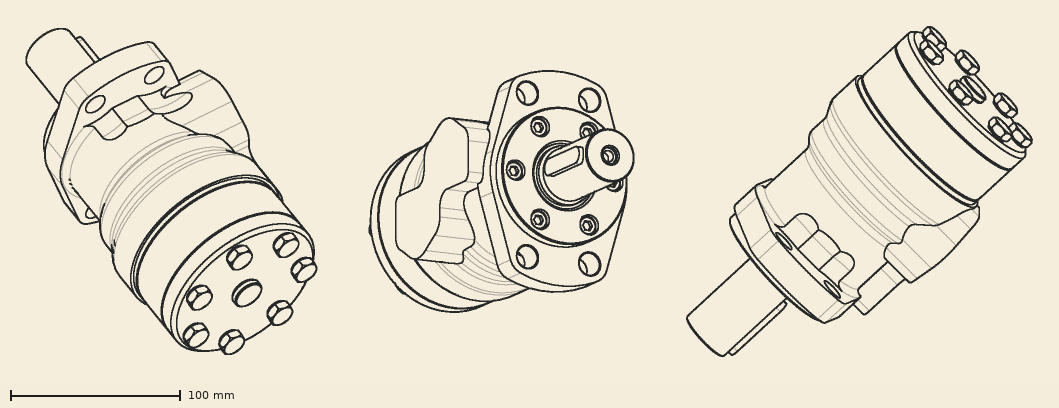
import cadquery as cq
import math


COLLAR_X = 56.0
PILOT_X = 59.4
FLANGE_X = 67.5
FLANGE_BACK_X = 84.4
RING_X = 132.0
BARREL_X = 154.2
HOUSING_END_X = 173.0
GEAR_X = 176.5
COVER_X = 204.0
COVER_END_X = 216.5
BOLT_END_X = 223.2

CHAMFER_ANGLE = 45

SHAFT_D = 32.0
SHAFT_TIP_CHAMFER = 0.7
COLLAR_D = 35.7
CENTRE_BORE_D = 10.0
CENTRE_BORE_DEPTH = 2.7
CENTRE_RIM_CHAMFER = 1.0
CENTRE_DRILL_D = 6.7
CENTRE_DRILL_DEPTH = 9.0
DRILL_HALF_ANGLE = math.radians(59)
KEY_X = 3.5
KEY_LENGTH = 45.0
KEY_WIDTH = 10.0
KEY_TOP_Y = 18.7
KEY_HEIGHT = 8.0

PILOT_D = 82.5
PILOT_CHAMFER = 0.7
SEAL_BORE_D = 39.5
SEAL_BORE_DEPTH = 1.5
SEAL_BORE_CHAMFER = 1.3
SCREW_COUNT = 6
SCREW_CIRCLE_R = 32.4
SCREW_BORE_D = 12.0
SCREW_BORE_DEPTH = 3.1
SCREW_FACE_D = 10.0
SCREW_RIM = (SCREW_BORE_D - SCREW_FACE_D) / 2
SCREW_HEX_CORNERS = 6.2
SCREW_HEX_DEPTH = 2.7

FLANGE_HEIGHT = 129.7
FLANGE_END_R = FLANGE_HEIGHT / 2
FLANGE_SIDE_R = 45.0
FLANGE_TAPER = 16.1
FLANGE_CORNER_R = 11.4
MOUNT_HOLE_D = 13.5
MOUNT_HOLE_CHAMFER = 0.55
MOUNT_HOLE_Y = 20.5
MOUNT_HOLE_Z = 49.5

NECK_R = 40.6
NECK_FILLET_R = 3.5
RING_R = 46.6
BARREL_R = 52.0
NECK_RAMP_ANGLE = 45
NECK_RAMP_FOOT_R = 7.4
NECK_RAMP_HEAD_R = 5.0
BARREL_RAMP_ANGLE = 30
BARREL_RAMP_FOOT_R = 7.5
BARREL_RAMP_HEAD_R = 5.5

POCKET_R = 24.5
POCKET_AXIS_Y = 23.7
POCKET_FLOOR_Z = 33.3
POCKET_END_R = 12.3
POCKET_STRAIGHT_END_X = 96.2
POCKET_FLAT_Z = 38.2
POCKET_FLAT_HALF_Y = 9.2
POCKET_OUTER_Z = 58.0

BLOCK_FACE_Y = 55.0
BLOCK_X = 76.8
BLOCK_CENTRE_X = 124.0
LOBE_X = 105.5
LOBE_TOP_Z = 38.5
LOBE_CROWN_R = 20.3
LOBE_SLOPE = 30
LOBE_SHOULDER_DX = 21.9
LOBE_WALL_Z = 19.2
BLOCK_INNER_R = 9.2
BLOCK_CORNER_R = 5.0
BLOCK_LEDGE_Z = 4.5

STACK_D = 100.0
STACK_CHAMFER = 0.5
COVER_CHAMFER = 2.5
BOLT_COUNT = 7
BOLT_CIRCLE_R = 39.0
BOLT_PATTERN_TURN = -4.1
BOLT_CORNERS = 16.0
BOLT_HEX_TURN = -14
BOLT_CHAMFER = 1.1
BOLT_SEAT_D = 13.0
BOLT_HEAD_X = 217.5
PLUG_D = 18.5
PLUG_STEM_D = 17.2
PLUG_CHAMFER = 0.7
PLUG_END_X = 221.2


def cylinder_x(x_start, x_end, diameter):
    """Cylinder on the motor axis between two stations."""
    return cq.Workplane("YZ", origin=(x_start, 0, 0)).circle(diameter / 2).extrude(x_end - x_start)


def cone_x(x_start, diameter, length):
    """Chamfer cone on the motor axis that narrows from its wide end; a negative length points it to -X."""
    wide_end = cq.Workplane("YZ", origin=(x_start, 0, 0)).circle(diameter / 2)
    return wide_end.extrude(length, taper=CHAMFER_ANGLE)


def circle_points(count, radius, first_angle=0.0):
    """(Y, Z) points equally spaced on a circle about the motor axis."""
    angles = [math.radians(first_angle + 360 * i / count) for i in range(count)]
    return [(radius * math.cos(a), radius * math.sin(a)) for a in angles]


def mirrored_points(y, z):
    """The four (Y, Z) points at the same distances from both planes of symmetry."""
    return [(sy * y, sz * z) for sy in (-1, 1) for sz in (-1, 1)]


def ramp(profile, x_end, r_start, r_end, angle, foot_r, head_r):
    """Continue a profile with a concave arc, a straight slope and a convex arc that ends level at x_end."""
    a = math.radians(angle)
    foot = (foot_r * math.sin(a), foot_r * (1 - math.cos(a)))
    head = (head_r * math.sin(a), head_r * (1 - math.cos(a)))
    slope_dx = (r_end - r_start - foot[1] - head[1]) / math.tan(a)
    x_start = x_end - foot[0] - slope_dx - head[0]
    half = a / 2
    return (
        profile.lineTo(x_start, r_start)
        .threePointArc(
            (x_start + foot_r * math.sin(half), r_start + foot_r * (1 - math.cos(half))),
            (x_start + foot[0], r_start + foot[1]),
        )
        .lineTo(x_end - head[0], r_end - head[1])
        .threePointArc(
            (x_end - head_r * math.sin(half), r_end - head_r * (1 - math.cos(half))),
            (x_end, r_end),
        )
    )


def turned_housing():
    """Neck, ring and barrel turned about the motor axis, with a fillet against the flange."""
    mid = NECK_FILLET_R * (1 - math.sqrt(0.5))
    profile = (
        cq.Workplane("XY")
        .moveTo(FLANGE_X, 0)
        .lineTo(FLANGE_X, NECK_R)
        .lineTo(FLANGE_BACK_X, NECK_R)
        .lineTo(FLANGE_BACK_X, NECK_R + NECK_FILLET_R)
        .threePointArc(
            (FLANGE_BACK_X + mid, NECK_R + mid),
            (FLANGE_BACK_X + NECK_FILLET_R, NECK_R),
        )
    )
    profile = ramp(profile, RING_X, NECK_R, RING_R, NECK_RAMP_ANGLE, NECK_RAMP_FOOT_R, NECK_RAMP_HEAD_R)
    profile = ramp(
        profile, BARREL_X, RING_R, BARREL_R, BARREL_RAMP_ANGLE, BARREL_RAMP_FOOT_R, BARREL_RAMP_HEAD_R
    )
    profile = profile.lineTo(HOUSING_END_X, BARREL_R).lineTo(HOUSING_END_X, 0).close()
    return profile.revolve(360, (0, 0, 0), (1, 0, 0))


def flange():
    """Rhombic plate: round ends, round sides, and tapered flanks between rounded corners."""
    taper = math.radians(FLANGE_TAPER)
    side = (FLANGE_SIDE_R * math.cos(taper), FLANGE_SIDE_R * math.sin(taper))
    corner_y = side[0] - (FLANGE_END_R - side[1]) * math.tan(taper)
    outline = (
        cq.Workplane("YZ", origin=(FLANGE_X, 0, 0))
        .moveTo(side[0], -side[1])
        .threePointArc((FLANGE_SIDE_R, 0), side)
        .lineTo(corner_y, FLANGE_END_R)
        .lineTo(-corner_y, FLANGE_END_R)
        .lineTo(-side[0], side[1])
        .threePointArc((-FLANGE_SIDE_R, 0), (-side[0], -side[1]))
        .lineTo(-corner_y, -FLANGE_END_R)
        .lineTo(corner_y, -FLANGE_END_R)
        .close()
    )
    plate = outline.extrude(FLANGE_BACK_X - FLANGE_X)
    plate = plate.intersect(cylinder_x(FLANGE_X, FLANGE_BACK_X, 2 * FLANGE_END_R))
    side_tangencies = cq.selectors.BoxSelector(
        (FLANGE_X, -FLANGE_SIDE_R, -MOUNT_HOLE_Z),
        (FLANGE_BACK_X, FLANGE_SIDE_R, MOUNT_HOLE_Z),
    )
    corners = cq.selectors.StringSyntaxSelector("|X") - side_tangencies
    return plate.edges(corners).fillet(FLANGE_CORNER_R)


def add_block_half(outline, turn):
    """One lobe of the port block outline; turn = -1 gives the other lobe by a half turn about the centre."""

    def at(x, z):
        return (BLOCK_CENTRE_X + turn * (x - BLOCK_CENTRE_X), turn * z)

    slope = math.radians(LOBE_SLOPE)
    crown_z = LOBE_TOP_Z - LOBE_CROWN_R
    crown_dx = LOBE_CROWN_R * math.sin(slope)
    crown_end_z = crown_z + LOBE_CROWN_R * math.cos(slope)
    half_width = LOBE_X - BLOCK_X
    shoulder_z = crown_end_z - (LOBE_SHOULDER_DX - crown_dx) * math.tan(slope)
    rise = shoulder_z - LOBE_WALL_Z
    run = half_width - LOBE_SHOULDER_DX
    shoulder_r = (rise**2 + run**2) / (2 * run)
    half_sweep = math.atan2(run, rise)
    mid_dx = half_width - shoulder_r * (1 - math.cos(half_sweep))
    mid_z = LOBE_WALL_Z + shoulder_r * math.sin(half_sweep)
    wall_x = LOBE_X + half_width
    inner_mid = BLOCK_INNER_R * (1 - math.sqrt(0.5))
    corner_mid = BLOCK_CORNER_R * (1 - math.sqrt(0.5))
    far_x = 2 * BLOCK_CENTRE_X - BLOCK_X
    return (
        outline.lineTo(*at(BLOCK_X, LOBE_WALL_Z))
        .threePointArc(at(LOBE_X - mid_dx, mid_z), at(LOBE_X - LOBE_SHOULDER_DX, shoulder_z))
        .lineTo(*at(LOBE_X - crown_dx, crown_end_z))
        .threePointArc(at(LOBE_X, LOBE_TOP_Z), at(LOBE_X + crown_dx, crown_end_z))
        .lineTo(*at(LOBE_X + LOBE_SHOULDER_DX, shoulder_z))
        .threePointArc(at(LOBE_X + mid_dx, mid_z), at(wall_x, LOBE_WALL_Z))
        .lineTo(*at(wall_x, BLOCK_LEDGE_Z + BLOCK_INNER_R))
        .threePointArc(
            at(wall_x + inner_mid, BLOCK_LEDGE_Z + inner_mid),
            at(wall_x + BLOCK_INNER_R, BLOCK_LEDGE_Z),
        )
        .lineTo(*at(far_x - BLOCK_CORNER_R, BLOCK_LEDGE_Z))
        .threePointArc(
            at(far_x - corner_mid, BLOCK_LEDGE_Z - corner_mid),
            at(far_x, BLOCK_LEDGE_Z - BLOCK_CORNER_R),
        )
    )


def port_block():
    """Block with two rounded port lobes on the +Y side."""
    outline = cq.Workplane("XZ").moveTo(BLOCK_X, BLOCK_CORNER_R - BLOCK_LEDGE_Z)
    outline = add_block_half(outline, 1)
    outline = add_block_half(outline, -1)
    return outline.close().extrude(-BLOCK_FACE_Y)


def pocket_floor(start, floor, rise_sign):
    """Pocket section from the flange: a level floor, then an arc to an upright end on the rise_sign side."""
    mid = POCKET_END_R * math.sqrt(0.5)
    end_x = POCKET_STRAIGHT_END_X + POCKET_END_R
    return (
        start.moveTo(FLANGE_BACK_X, floor)
        .lineTo(POCKET_STRAIGHT_END_X, floor)
        .threePointArc(
            (POCKET_STRAIGHT_END_X + mid, floor + rise_sign * (POCKET_END_R - mid)),
            (end_x, floor + rise_sign * POCKET_END_R),
        )
    )


def bolt_pockets():
    """Scooped pockets behind the mounting holes, and the flats that join each pair."""
    end_x = POCKET_STRAIGHT_END_X + POCKET_END_R
    round_pocket = (
        pocket_floor(cq.Workplane("XY"), POCKET_R, -1)
        .lineTo(end_x, 0)
        .lineTo(FLANGE_BACK_X, 0)
        .close()
        .revolve(360, (0, 0, 0), (1, 0, 0))
    )
    flat_pocket = (
        pocket_floor(cq.Workplane("XZ"), POCKET_FLAT_Z, 1)
        .lineTo(end_x, POCKET_OUTER_Z)
        .lineTo(FLANGE_BACK_X, POCKET_OUTER_Z)
        .close()
        .extrude(POCKET_FLAT_HALF_Y, both=True)
    )
    pockets = flat_pocket.union(flat_pocket.mirror("XY"))
    for y, z in mirrored_points(POCKET_AXIS_Y, POCKET_FLOOR_Z + POCKET_R):
        pockets = pockets.union(round_pocket.translate((0, y, z)))
    return pockets


def mounting_holes():
    """Through holes in the flange, chamfered on the front."""
    hole = cylinder_x(FLANGE_X, FLANGE_BACK_X, MOUNT_HOLE_D)
    rim = cone_x(FLANGE_X, MOUNT_HOLE_D + 2 * MOUNT_HOLE_CHAMFER, MOUNT_HOLE_CHAMFER)
    hole = hole.union(rim)
    holes = cq.Workplane("YZ")
    for y, z in mirrored_points(MOUNT_HOLE_Y, MOUNT_HOLE_Z):
        holes = holes.add(hole.translate((0, y, z)))
    return holes.combine()


def screw_recess():
    """Space above one socket screw: bore, rim chamfer of the head and hexagon socket."""
    face_x = PILOT_X + SCREW_BORE_DEPTH - SCREW_RIM
    bore = cylinder_x(PILOT_X, PILOT_X + SCREW_BORE_DEPTH, SCREW_BORE_D)
    head = cone_x(PILOT_X + SCREW_BORE_DEPTH, SCREW_BORE_D, -SCREW_RIM)
    socket = (
        cq.Workplane("YZ", origin=(face_x, 0, 0)).polygon(6, SCREW_HEX_CORNERS).extrude(SCREW_HEX_DEPTH)
    )
    return bore.cut(head).union(socket)


def pilot_disc():
    """Centring disc with the seal bore and a ring of recessed socket screws."""
    disc = cylinder_x(PILOT_X, FLANGE_X, PILOT_D).faces("<X").edges().chamfer(PILOT_CHAMFER)
    seal_bore = cylinder_x(PILOT_X, PILOT_X + SEAL_BORE_DEPTH, SEAL_BORE_D)
    seal_rim = cone_x(PILOT_X, SEAL_BORE_D + 2 * SEAL_BORE_CHAMFER, SEAL_BORE_CHAMFER)
    disc = disc.cut(seal_bore).cut(seal_rim)
    recess = screw_recess()
    for y, z in circle_points(SCREW_COUNT, SCREW_CIRCLE_R):
        disc = disc.cut(recess.translate((0, y, z)))
    return disc


def make_housing():
    body = turned_housing().union(flange()).union(port_block())
    body = body.cut(bolt_pockets()).cut(mounting_holes())
    body = body.union(pilot_disc())
    return body.cut(cylinder_x(PILOT_X, FLANGE_BACK_X, COLLAR_D))


def key_blank():
    """Parallel key with round ends, lying along X on the +Y side of the shaft."""
    return (
        cq.Workplane("XZ", origin=(KEY_X + KEY_LENGTH / 2, KEY_TOP_Y, 0))
        .slot2D(KEY_LENGTH, KEY_WIDTH)
        .extrude(KEY_HEIGHT)
    )


def centre_hole():
    """Stepped hole in the shaft tip: chamfered bore, then a pointed drilling."""
    bore_r = CENTRE_BORE_D / 2
    drill_r = CENTRE_DRILL_D / 2
    return (
        cq.Workplane("XY")
        .moveTo(0, 0)
        .lineTo(0, bore_r + CENTRE_RIM_CHAMFER)
        .lineTo(CENTRE_RIM_CHAMFER, bore_r)
        .lineTo(CENTRE_BORE_DEPTH, bore_r)
        .lineTo(CENTRE_BORE_DEPTH, drill_r)
        .lineTo(CENTRE_DRILL_DEPTH, drill_r)
        .lineTo(CENTRE_DRILL_DEPTH + drill_r / math.tan(DRILL_HALF_ANGLE), 0)
        .close()
        .revolve(360, (0, 0, 0), (1, 0, 0))
    )


def make_shaft():
    collar_rise = (COLLAR_D - SHAFT_D) / 2
    stem = cylinder_x(0, COLLAR_X, SHAFT_D).faces("<X").edges().chamfer(SHAFT_TIP_CHAMFER)
    collar = cylinder_x(COLLAR_X, FLANGE_BACK_X, COLLAR_D).faces("<X").edges().chamfer(collar_rise)
    return stem.union(collar).cut(centre_hole()).cut(key_blank())


def make_key():
    return key_blank()


def make_spacer_plate():
    return cylinder_x(HOUSING_END_X, GEAR_X, STACK_D).faces(">X").edges().chamfer(STACK_CHAMFER)


def make_gear_set():
    return cylinder_x(GEAR_X, COVER_X, STACK_D).faces("<X or >X").edges().chamfer(STACK_CHAMFER)


def bolt_head():
    """Hexagon head on a round seat; the hexagon corners are bevelled at both ends."""
    hexagon = (
        cq.Workplane("YZ", origin=(BOLT_HEAD_X, 0, 0))
        .transformed(rotate=(0, 0, BOLT_HEX_TURN))
        .polygon(6, BOLT_CORNERS)
        .extrude(BOLT_END_X - BOLT_HEAD_X)
    )
    bevel = cylinder_x(BOLT_HEAD_X, BOLT_END_X, BOLT_CORNERS).edges().chamfer(BOLT_CHAMFER)
    seat = cylinder_x(COVER_END_X, BOLT_HEAD_X, BOLT_SEAT_D)
    return hexagon.intersect(bevel).union(seat)


def make_end_cover():
    """End cover with its centre plug and bolt heads."""
    cover = cylinder_x(COVER_X, COVER_END_X, STACK_D)
    cover = cover.faces("<X").edges().chamfer(STACK_CHAMFER).faces(">X").edges().chamfer(COVER_CHAMFER)
    plug = cylinder_x(BOLT_HEAD_X, PLUG_END_X, PLUG_D).faces(">X").edges().chamfer(PLUG_CHAMFER)
    cover = cover.union(cylinder_x(COVER_END_X, BOLT_HEAD_X, PLUG_STEM_D)).union(plug)
    head = bolt_head()
    for y, z in circle_points(BOLT_COUNT, BOLT_CIRCLE_R, BOLT_PATTERN_TURN):
        cover = cover.union(head.translate((0, y, z)))
    return cover


housing = make_housing()
shaft = make_shaft()
key = make_key()
spacer_plate = make_spacer_plate()
gear_set = make_gear_set()
end_cover = make_end_cover()

bodies = [housing, shaft, key, spacer_plate, gear_set, end_cover]
result = cq.Compound.makeCompound([body.solids().val() for body in bodies])